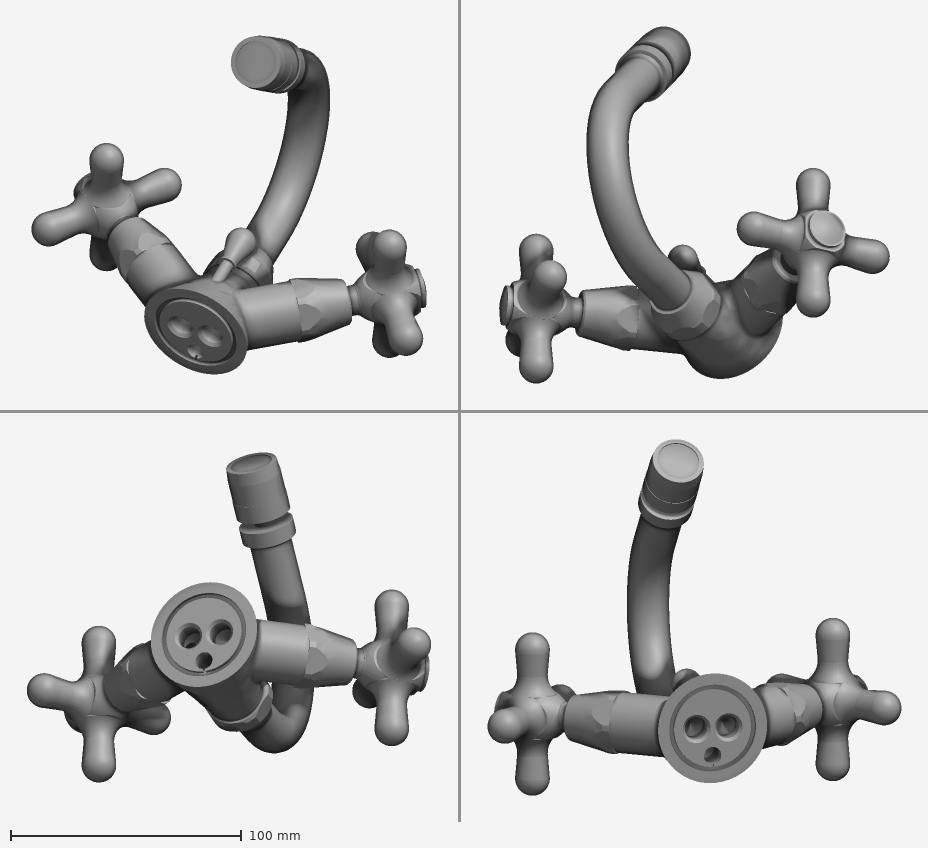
import cadquery as cq
import math


overall_width = 183.9
overall_depth = 132.4

base_radius = 24.3
base_height = 2.2
neck_radius = 13.2
neck_start = 38.3
neck_end = 41.4
spout_height = -9.2

seal_outer_radius = 19.3
seal_inner_radius = 17.1
seal_depth = 1.8
inlet_spacing = 14.2
inlet_radius = 5.0
inlet_mouth_radius = 6.3
inlet_mouth_depth = 1.5
inlet_mouth_facets = 36
inlet_depth = 9.2
screw_hole_radius = 3.9
screw_hole_height = -10.0
screw_hole_depth = 14.7
drill_point_angle = 118.0
drain_notch_width = 1.1

arm_angle = 38.0
arm_root = 4.8
arm_radius = 13.2
arm_start = 14.7
arm_blend = 2.8
arm_bore_radius = 3.7
arm_bore_start = 10.1
arm_bore_end = 36.8

bonnet_base = -42.8
bonnet_length = 23.7
bonnet_rim_length = 3.1
bonnet_radius = 14.2
bonnet_end_radius = 10.1
bonnet_flat_distance = 12.9
bonnet_chamfer = 0.7
stem_radius = 6.6

hub_width = 18.8
hub_radius = 13.2
hub_inner_end = -14.3
hub_inner_radius = 7.2
hub_lip_end = -15.0
hub_lip_radius = 6.8
hub_outer_end = 11.8
hub_outer_radius = 10.3
cap_groove_radius = 8.0
cap_groove_end = 12.7
cap_radius = 8.6
cap_edge = 14.3
cap_rim_width = 1.0
cap_dome_height = 1.7
prong_ball_radius = 7.5
prong_ball_distance = 28.5
prong_waist_radius = 6.6
prong_waist_distance = 17.7
prong_flare_radius = 10.3
prong_flare_middle = (7.7, 12.7)

nut_radius = 15.3
nut_flat_distance = 14.2
nut_chamfer_radius = 14.2
nut_rim_start = 42.8
nut_rim_end = 49.1
nut_shoulder = 50.2
nut_shoulder_radius = 14.7
nut_end = 59.5
nut_end_radius = 10.9

spout_radius = 9.2
bend_radius = 41.4
bend_angle = 135.0
outlet_length = 64.7
swivel_radius = 12.0
collar_cone_length = 1.7
collar_cone_radius = 10.3
collar_thickness = 6.8
ball_neck_length = 4.8
ball_neck_radius = 5.0
head_length = 23.5
head_sleeve_length = 8.0
head_barrel_radius = 11.8
head_taper_length = 5.5
head_end_radius = 11.2
aerator_radius = 9.2
aerator_recess = 0.5

rod_radius = 2.8
rod_height = 11.8
rod_collar_radius = 4.0
rod_collar_start = 34.2
rod_collar_end = 35.3
knob_cone_radius = 3.1
knob_ball_radius = 6.6
knob_ball_joint = 46.5
knob_end = 55.7

flat_count = 6


def along_y(x, z, y=0.0):
    """Location whose local Z runs along +Y, with local X kept along X."""
    return cq.Location(cq.Plane(origin=(x, y, z), xDir=(1, 0, 0), normal=(0, 1, 0)))


def turned(points):
    """Solid turned about local Z from an outline of (radius, height) corners on the axis."""
    outline = cq.Workplane("XZ").polyline(points).close()
    return outline.revolve(360, (0, 0), (0, 1))


def six_flats(across_radius, start, end):
    """Hexagonal prism along local Z with one flat facing each way along local Y."""
    corner_diameter = 2 * across_radius / math.cos(math.pi / flat_count)
    return cq.Workplane("XY").workplane(offset=start).polygon(flat_count, corner_diameter).extrude(end - start)


def drilled(radius, depth):
    """Blind drilled hole along local Z, ending in a drill point."""
    point_depth = radius / math.tan(math.radians(drill_point_angle / 2))
    return turned([(0, 0), (radius, 0), (radius, depth), (0, depth + point_depth)])


arm_slope = math.radians(arm_angle)
prong_reach_x = prong_ball_distance * math.sin(arm_slope) + prong_ball_radius
hub_x = overall_width / 2 - prong_reach_x
hub_distance = hub_x / math.cos(arm_slope)


def along_right_arm(distance):
    """Location on the right arm axis at a distance from the middle plane."""
    x = distance * math.cos(arm_slope)
    y = arm_root + distance * math.sin(arm_slope)
    direction = (math.cos(arm_slope), math.sin(arm_slope), 0)
    return cq.Location(cq.Plane(origin=(x, y, 0), xDir=(0, 0, 1), normal=direction))


def on_both_sides(shape):
    """The right-hand shape and its mirror image on the left."""
    return [shape, shape.mirror("YZ")]


def make_body():
    base = cq.Wire.makeCircle(base_radius, cq.Vector(0, 0, base_height), cq.Vector(0, 1, 0))
    neck = cq.Wire.makeCircle(neck_radius, cq.Vector(0, neck_start, spout_height), cq.Vector(0, 1, 0))
    body = cq.Workplane(cq.Solid.makeLoft([base, neck], True))
    arm_length = hub_distance + bonnet_base - arm_start
    arm = cq.Workplane("XY").circle(arm_radius).extrude(arm_length).val().moved(along_right_arm(arm_start))
    for side_arm in on_both_sides(arm):
        body = body.union(cq.Workplane(side_arm))
    return body.edges(cq.selectors.BoxSelector((-31.3, 0.2, -16.5), (31.3, 37.7, 16.5), boundingbox=True)).fillet(arm_blend)


def make_neck():
    length = neck_end - neck_start
    return cq.Workplane("XY").circle(neck_radius).extrude(length).val().moved(along_y(0, spout_height, neck_start))


def make_bonnet():
    bonnet_end = bonnet_base + bonnet_length
    profile = [
        (0, bonnet_base),
        (bonnet_radius, bonnet_base),
        (bonnet_radius, bonnet_base + bonnet_rim_length),
        (bonnet_end_radius, bonnet_end - bonnet_chamfer),
        (bonnet_end_radius - bonnet_chamfer, bonnet_end),
        (0, bonnet_end),
    ]
    flats = six_flats(bonnet_flat_distance, bonnet_base, bonnet_end).rotate((0, 0, 0), (0, 0, 1), 90)
    stem = cq.Workplane("XY").workplane(offset=bonnet_end).circle(stem_radius).extrude(-bonnet_end)
    return turned(profile).intersect(flats).union(stem)


def make_prong():
    """One prong along local Z, from the hub centre to its ball end."""
    taper = math.asin((prong_ball_radius - prong_waist_radius) / (prong_ball_distance - prong_waist_distance))
    joint = (prong_ball_radius * math.cos(taper), prong_ball_distance - prong_ball_radius * math.sin(taper))
    outline = (
        cq.Workplane("XZ")
        .lineTo(prong_flare_radius, 0)
        .lineTo(prong_flare_radius, hub_width / 2)
        .threePointArc(prong_flare_middle, (prong_waist_radius, prong_waist_distance))
        .lineTo(*joint)
        .radiusArc((0, prong_ball_distance + prong_ball_radius), -prong_ball_radius)
        .close()
    )
    return outline.revolve(360, (0, 0), (0, 1))


def make_hub():
    """Square hub with barrel-shaped ends and a round cap on its outer end."""
    barrel = (
        cq.Workplane("XZ")
        .moveTo(0, hub_lip_end)
        .lineTo(hub_lip_radius, hub_lip_end)
        .lineTo(hub_inner_radius, hub_inner_end)
        .threePointArc((hub_radius, 0), (hub_outer_radius, hub_outer_end))
        .lineTo(0, hub_outer_end)
        .close()
        .revolve(360, (0, 0), (0, 1))
    )
    block = cq.Workplane("XY").box(hub_width, hub_width, 4 * hub_outer_end)
    dome_radius = cap_radius - cap_rim_width
    dome_curvature = (dome_radius**2 + cap_dome_height**2) / (2 * cap_dome_height)
    cap = (
        cq.Workplane("XZ")
        .lineTo(cap_groove_radius, 0)
        .lineTo(cap_groove_radius, cap_groove_end)
        .lineTo(cap_radius, cap_groove_end)
        .lineTo(cap_radius, cap_edge)
        .lineTo(dome_radius, cap_edge)
        .radiusArc((0, cap_edge + cap_dome_height), -dome_curvature)
        .close()
        .revolve(360, (0, 0), (0, 1))
    )
    return barrel.intersect(block).union(cap)


def make_handle():
    handle = make_hub()
    prong = make_prong().rotate((0, 0, 0), (0, 1, 0), 90)
    for quarter in range(4):
        handle = handle.union(prong.rotate((0, 0, 0), (0, 0, 1), 90 * quarter))
    return handle


def make_nut():
    profile = [
        (0, neck_end),
        (nut_chamfer_radius, neck_end),
        (nut_radius, nut_rim_start),
        (nut_radius, nut_rim_end),
        (nut_shoulder_radius, nut_shoulder),
        (nut_end_radius, nut_end),
        (0, nut_end),
    ]
    nut = turned(profile).intersect(six_flats(nut_flat_distance, neck_end, nut_end))
    return nut.val().moved(along_y(0, spout_height))


def make_spout():
    bend_y = overall_depth - spout_radius - bend_radius
    bend_z = spout_height + bend_radius
    turn = math.radians(bend_angle)
    outlet_y = bend_y + bend_radius * math.sin(turn)
    outlet_z = bend_z - bend_radius * math.cos(turn)
    path = (
        cq.Workplane("YZ")
        .moveTo(nut_end, spout_height)
        .lineTo(bend_y, spout_height)
        .threePointArc(
            (bend_y + bend_radius * math.sin(turn / 2), bend_z - bend_radius * math.cos(turn / 2)),
            (outlet_y, outlet_z),
        )
    )
    start = cq.Plane(origin=(0, nut_end, spout_height), xDir=(1, 0, 0), normal=(0, 1, 0))
    tube = cq.Workplane(start).circle(spout_radius).sweep(path)
    direction = (0, math.cos(turn), math.sin(turn))
    outlet = cq.Plane(origin=(0, outlet_y, outlet_z), xDir=(1, 0, 0), normal=direction)
    return tube.union(cq.Workplane(make_outlet().val().moved(cq.Location(outlet))))


def make_outlet():
    """Outlet pipe, swivel collar and head, with local Z running from the bend to the outlet face."""
    head_start = outlet_length - head_length
    collar_end = head_start - ball_neck_length
    collar_start = collar_end - collar_thickness
    cone_start = collar_start - collar_cone_length
    taper_start = outlet_length - head_taper_length
    recess_floor = outlet_length - aerator_recess
    return turned(
        [
            (0, 0),
            (spout_radius, 0),
            (spout_radius, cone_start),
            (collar_cone_radius, collar_start),
            (swivel_radius, collar_start),
            (swivel_radius, collar_end),
            (ball_neck_radius, collar_end),
            (ball_neck_radius, head_start),
            (swivel_radius, head_start),
            (swivel_radius, head_start + head_sleeve_length),
            (head_barrel_radius, head_start + head_sleeve_length),
            (head_barrel_radius, taper_start),
            (head_end_radius, outlet_length),
            (aerator_radius, outlet_length),
            (aerator_radius, recess_floor),
            (0, recess_floor),
        ]
    )


def make_seal_groove():
    groove = cq.Workplane("XY").circle(seal_outer_radius).circle(seal_inner_radius).extrude(seal_depth)
    return groove.val().moved(along_y(0, base_height))


def make_drain_notch():
    """Notch that joins the screw hole to the seal groove below it."""
    groove_bottom = base_height - (seal_inner_radius + seal_outer_radius) / 2
    height = screw_hole_height - groove_bottom
    notch = cq.Workplane("XY").box(drain_notch_width, seal_depth, height, centered=(True, False, False))
    return notch.translate((0, 0, groove_bottom)).val()


def make_inlets():
    """Drilled inlets with faceted countersunk mouths, and the bores that lead from them into the arms."""
    mouth_taper = math.degrees(math.atan((inlet_mouth_radius - inlet_radius) / inlet_mouth_depth))
    mouth = cq.Workplane("XY").polygon(inlet_mouth_facets, 2 * inlet_mouth_radius)
    mouth = mouth.extrude(inlet_mouth_depth, taper=mouth_taper)
    inlet = drilled(inlet_radius, inlet_depth).union(mouth)
    inlet = inlet.val().moved(along_y(inlet_spacing / 2, base_height))
    bore = cq.Workplane("XY").circle(arm_bore_radius).extrude(arm_bore_end - arm_bore_start)
    bore = bore.val().moved(along_right_arm(arm_bore_start))
    return on_both_sides(inlet) + on_both_sides(bore)


def make_tap():
    tap = make_body()
    tap = tap.union(cq.Workplane(make_neck()))
    tap = tap.union(cq.Workplane(make_nut()))
    tap = tap.union(make_spout())
    handle = make_bonnet().union(make_handle()).val().moved(along_right_arm(hub_distance))
    for side_handle in on_both_sides(handle):
        tap = tap.union(cq.Workplane(side_handle))
    screw_hole = drilled(screw_hole_radius, screw_hole_depth).val().moved(along_y(0, screw_hole_height))
    rod_hole = cq.Workplane("XY").circle(rod_radius).extrude(neck_end).val().moved(along_y(0, rod_height))
    cuts = [make_seal_groove(), screw_hole, make_drain_notch(), rod_hole] + make_inlets()
    for cut in cuts:
        tap = tap.cut(cq.Workplane(cut))
    return tap


def make_knob():
    ball_centre = knob_end - knob_ball_radius
    joint_radius = math.sqrt(knob_ball_radius**2 - (ball_centre - knob_ball_joint) ** 2)
    outline = (
        cq.Workplane("XZ")
        .lineTo(rod_radius, 0)
        .lineTo(rod_radius, rod_collar_start)
        .lineTo(rod_collar_radius, rod_collar_start)
        .lineTo(rod_collar_radius, rod_collar_end)
        .lineTo(knob_cone_radius, rod_collar_end)
        .lineTo(joint_radius, knob_ball_joint)
        .threePointArc((knob_ball_radius, ball_centre), (0, knob_end))
        .close()
    )
    return outline.revolve(360, (0, 0), (0, 1)).val().moved(along_y(0, rod_height))


tap = make_tap()
knob = make_knob()

result = cq.Compound.makeCompound([tap.val(), knob])